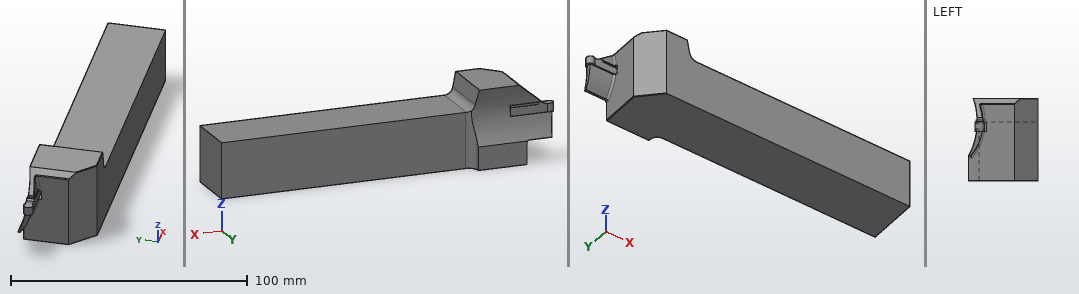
import cadquery as cq
import math


tool_length = 150.79
shank_width = 25.0
shank_height = 25.0
head_width = 29.5
head_height = 35.0
face_x = 13.8
corner_chamfer = 10.0
head_top_end_x = 34.6
head_back_angle = 11.0
head_back_radius = 3.8
bulge_end_x = 36.0
bulge_radius = 4.0
edge_break = 0.3

blade_center_z = shank_height
outer_radius = 30.0
outer_side_y = 25.75
inner_radius = 22.5
inner_side_y = 23.3
blade_bottom_z = 10.7
blade_root_radius = 0.95

slope_angle = 40.0
slope_top_x = 16.5
upper_nose_x = 6.8
lower_nose_x = 1.0
lower_nose_angle = 7.5

tip_radius = 2.0
insert_y = 24.7
neck_width = 3.2
insert_end_x = 20.0
insert_bottom_z = 21.1
insert_top_z = shank_height
ridge_top_z = 25.9
ridge_step_x = 7.5
ridge_step = 0.2
ramp_start_x = 4.1
ramp_middle_x = 5.0
ramp_middle_z = 25.25
ramp_end_x = 5.9

slot_side_y = 21.75

margin = 10.0


def box(x_range, y_range, z_range):
    """Box between pairs of coordinates."""
    size = [high - low for low, high in (x_range, y_range, z_range)]
    corner = (x_range[0], y_range[0], z_range[0])
    return cq.Workplane("XY").box(*size, centered=False).translate(corner)


def cylinder_along_x(radius, side_y, start_x, end_x):
    """Cylinder along X whose low-Y side touches side_y at the blade's centre height."""
    center = (side_y + radius, blade_center_z)
    return cq.Workplane("YZ", origin=(start_x, 0, 0)).center(*center).circle(radius).extrude(end_x - start_x)


def make_insert():
    """Round-nosed insert with a straight neck and a raised ridge behind the chip ramp."""
    neck_low_y = insert_y - neck_width / 2
    neck_high_y = insert_y + neck_width / 2
    bottom = cq.Workplane("XY", origin=(0, 0, insert_bottom_z))
    tip = bottom.center(tip_radius, insert_y).circle(tip_radius).extrude(insert_top_z - insert_bottom_z)
    neck = box((tip_radius, insert_end_x), (neck_low_y, neck_high_y), (insert_bottom_z, insert_top_z))

    ridge = (
        cq.Workplane("XZ", origin=(0, neck_high_y, 0))
        .moveTo(ramp_start_x, insert_top_z)
        .lineTo(ramp_middle_x, ramp_middle_z)
        .lineTo(ramp_end_x, ridge_top_z)
        .lineTo(insert_end_x, ridge_top_z)
        .lineTo(insert_end_x, insert_top_z)
        .close()
        .extrude(neck_width)
    )
    insert = tip.union(neck).union(ridge)
    for wall_low_y in (neck_low_y, neck_high_y - ridge_step):
        wall_y = (wall_low_y, wall_low_y + ridge_step)
        insert = insert.cut(box((ridge_step_x, insert_end_x), wall_y, (insert_top_z, ridge_top_z)))
    return insert


def nearest(x, y, z):
    """Selector for the edge whose middle lies closest to a point."""
    return cq.selectors.NearestToPointSelector((x, y, z))


def make_shank_and_head():
    """Plan outline of the holder trimmed to its stepped side profile, with its edges broken."""
    arc_inset = bulge_radius * (1 - math.sqrt(0.5))
    plan = (
        cq.Workplane("XY")
        .moveTo(face_x + corner_chamfer, 0)
        .lineTo(tool_length, 0)
        .lineTo(tool_length, shank_width)
        .lineTo(bulge_end_x + bulge_radius, shank_width)
        .threePointArc(
            (bulge_end_x + arc_inset, shank_width + arc_inset),
            (bulge_end_x, shank_width + bulge_radius),
        )
        .lineTo(bulge_end_x, head_width)
        .lineTo(face_x, head_width)
        .lineTo(face_x, corner_chamfer)
        .close()
        .extrude(head_height)
    )

    step_height = head_height - shank_height
    step_x = head_top_end_x + step_height * math.tan(math.radians(head_back_angle))
    step = (
        cq.Workplane("XZ")
        .moveTo(head_top_end_x, head_height)
        .lineTo(step_x, shank_height)
        .lineTo(tool_length, shank_height)
        .lineTo(tool_length, head_height)
        .close()
        .extrude(-head_width)
        .edges(nearest(step_x, head_width / 2, shank_height))
        .fillet(head_back_radius)
    )
    body = plan.cut(step)

    corner_middle = (face_x + corner_chamfer / 2, corner_chamfer / 2)
    front_middle_y = (corner_chamfer + head_width) / 2
    top_side_middle_x = (face_x + corner_chamfer + head_top_end_x) / 2
    body = body.edges(nearest(*corner_middle, 0)).chamfer(edge_break)
    body = body.edges(nearest(face_x, front_middle_y, 0)).chamfer(edge_break)
    body = body.edges(nearest(*corner_middle, head_height)).chamfer(edge_break)
    return body.edges(nearest(top_side_middle_x, 0, head_height)).chamfer(edge_break)


def add_blade(body):
    """Blade in front of the head, rounded into the front face along its root."""
    blade = box((0, face_x), (inner_side_y, head_width), (blade_bottom_z, head_height))
    blade = blade.intersect(cylinder_along_x(inner_radius, inner_side_y, 0, face_x))
    body = body.union(blade)

    root_arc = body.edges(nearest(face_x, inner_side_y, blade_center_z))
    root_bottom = body.edges(nearest(face_x, head_width, blade_bottom_z))
    body = root_arc.add(root_bottom).fillet(blade_root_radius)
    return body.cut(cylinder_along_x(outer_radius, outer_side_y, -margin, tool_length))


def front_cut(profile_points):
    """Cutter through the full width of the head from a profile in X and Z."""
    profile = cq.Workplane("XZ", origin=(0, -margin, 0)).polyline(profile_points).close()
    return profile.extrude(-(head_width + 2 * margin))


def trim_jaws(body):
    """Sloped top and nose of the upper jaw, its broken edge, and raked nose of the lower jaw."""
    slope_drop = (slope_top_x - upper_nose_x) * math.tan(math.radians(slope_angle))
    upper = front_cut(
        [
            (slope_top_x, head_height),
            (upper_nose_x, head_height - slope_drop),
            (upper_nose_x, insert_bottom_z),
            (-margin, insert_bottom_z),
            (-margin, head_height),
        ]
    )
    rake_run = insert_bottom_z * math.tan(math.radians(lower_nose_angle))
    lower = front_cut(
        [
            (lower_nose_x, insert_bottom_z),
            (lower_nose_x + rake_run, 0),
            (-margin, 0),
            (-margin, insert_bottom_z),
        ]
    )
    body = body.cut(upper).cut(lower)

    slope_foot_z = head_height - (slope_top_x - face_x) * math.tan(math.radians(slope_angle))
    slope_foot_middle_y = (corner_chamfer + inner_side_y) / 2
    return body.edges(nearest(face_x, slope_foot_middle_y, slope_foot_z)).chamfer(edge_break)


def cut_insert_slot(body, insert):
    """Gap between the jaws, the slot in the head and the seat that fits the insert."""
    past_head = head_width + margin
    jaw_gap = box((0, face_x), (slot_side_y, past_head), (insert_bottom_z, ridge_top_z))
    head_slot = box((face_x, insert_end_x), (slot_side_y, past_head), (insert_bottom_z, insert_top_z))
    return body.cut(jaw_gap).cut(head_slot).cut(insert)


def make_holder(insert):
    """Complete holder, with the seat shaped by the insert."""
    body = add_blade(make_shank_and_head())
    return cut_insert_slot(trim_jaws(body), insert)


insert = make_insert()
holder = make_holder(insert)
result = cq.Compound.makeCompound([holder.val(), insert.val()])